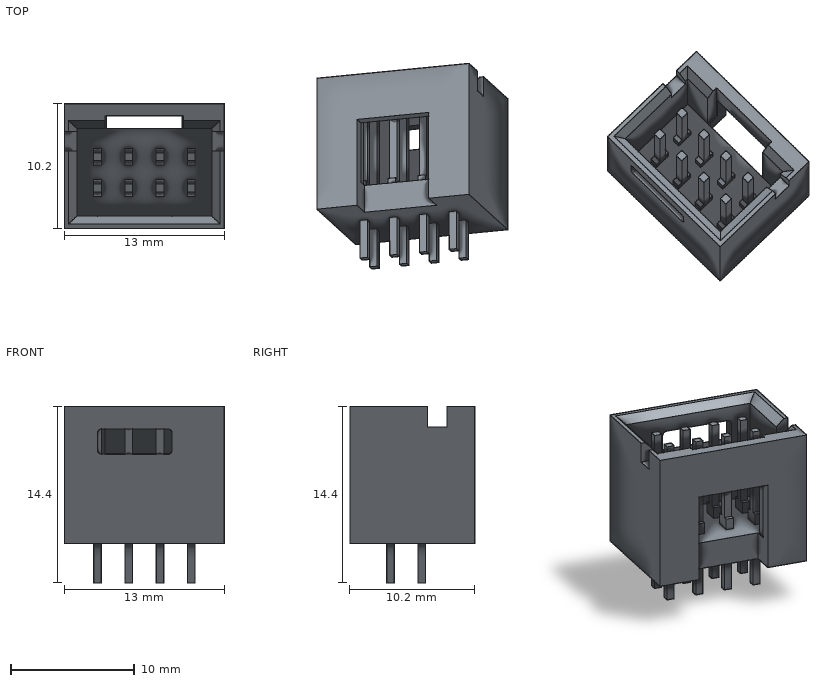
import cadquery as cq

OVERALL_HEIGHT = 14.35

HOUSING_LENGTH = 13.0
HOUSING_WIDTH = 10.16
HOUSING_HEIGHT = 11.15
FLOOR_THICKNESS = 2.28

WALL = 1.02
REAR_WALL = 2.01
BEVEL_WIDTH_X = 0.67
BEVEL_WIDTH_Y = 0.63
BEVEL_DEPTH = 0.65

RECESS_LENGTH = 6.35
RECESS_WALL = 0.99
OPENING_LENGTH = 6.13
OPENING_TOP = HOUSING_HEIGHT - 3.85

NOTCH_WIDTH = 1.55
NOTCH_DEPTH = 1.66
NOTCH_FROM_REAR = 2.28

WINDOW_LENGTH = 6.08
WINDOW_HEIGHT = 2.05
WINDOW_RADIUS = 0.36
WINDOW_CENTER_X = -0.77
WINDOW_TOP_GAP = 1.84

PIN_COLUMNS = 4
PIN_ROWS = 2
PIN_PITCH = 2.54
PIN_SIZE = 0.63
PIN_TAIL = OVERALL_HEIGHT - HOUSING_HEIGHT
PIN_TOP = HOUSING_HEIGHT - 0.8
PIN_GRID_CENTER_Y = -0.5
SHOULDER_WIDTH = 1.38
SHOULDER_HEIGHT = 0.93

FRONT_Y = -HOUSING_WIDTH / 2
REAR_Y = HOUSING_WIDTH / 2
CAVITY_LENGTH = HOUSING_LENGTH - 2 * WALL
CAVITY_WIDTH = HOUSING_WIDTH - WALL - REAR_WALL
CAVITY_CENTER_Y = (WALL - REAR_WALL) / 2
CAVITY_REAR_Y = REAR_Y - REAR_WALL


def block(length, y_range, z_range, center_x=0):
    """Box centred on center_x, spanning the given Y and Z ranges."""
    y_min, y_max = y_range
    z_min, z_max = z_range
    return (
        cq.Workplane("XY")
        .box(length, y_max - y_min, z_max - z_min, centered=(True, False, False))
        .translate((center_x, y_min, z_min))
    )


def cavity():
    straight = block(
        CAVITY_LENGTH,
        (FRONT_Y + WALL, CAVITY_REAR_Y),
        (FLOOR_THICKNESS, HOUSING_HEIGHT),
    )
    bevel = (
        cq.Workplane("XY")
        .workplane(offset=HOUSING_HEIGHT)
        .center(0, CAVITY_CENTER_Y)
        .rect(CAVITY_LENGTH + 2 * BEVEL_WIDTH_X, CAVITY_WIDTH + 2 * BEVEL_WIDTH_Y)
        .workplane(offset=-BEVEL_DEPTH)
        .rect(CAVITY_LENGTH, CAVITY_WIDTH)
        .loft(ruled=True)
    )
    return straight.union(bevel)


def rear_recess():
    return block(
        RECESS_LENGTH,
        (CAVITY_REAR_Y, REAR_Y - RECESS_WALL),
        (FLOOR_THICKNESS, HOUSING_HEIGHT),
    )


def rear_opening():
    return block(OPENING_LENGTH, (CAVITY_REAR_Y, REAR_Y), (0, OPENING_TOP))


def end_notches():
    notch_rear_y = REAR_Y - NOTCH_FROM_REAR
    return block(
        HOUSING_LENGTH,
        (notch_rear_y - NOTCH_WIDTH, notch_rear_y),
        (HOUSING_HEIGHT - NOTCH_DEPTH, HOUSING_HEIGHT),
    )


def front_window():
    window_top = HOUSING_HEIGHT - WINDOW_TOP_GAP
    return block(
        WINDOW_LENGTH,
        (FRONT_Y, FRONT_Y + WALL),
        (window_top - WINDOW_HEIGHT, window_top),
        WINDOW_CENTER_X,
    ).edges("|Y").fillet(WINDOW_RADIUS)


def pin(x, y):
    post = block(PIN_SIZE, (y - PIN_SIZE / 2, y + PIN_SIZE / 2), (-PIN_TAIL, PIN_TOP), x)
    shoulder = block(
        PIN_SIZE,
        (y - SHOULDER_WIDTH / 2, y + SHOULDER_WIDTH / 2),
        (0, FLOOR_THICKNESS + SHOULDER_HEIGHT),
        x,
    )
    return post.union(shoulder)


result = block(HOUSING_LENGTH, (FRONT_Y, REAR_Y), (0, HOUSING_HEIGHT))
for pocket in (cavity(), rear_recess(), rear_opening(), end_notches(), front_window()):
    result = result.cut(pocket)

for column in range(PIN_COLUMNS):
    pin_x = (column - (PIN_COLUMNS - 1) / 2) * PIN_PITCH
    for row in range(PIN_ROWS):
        pin_y = PIN_GRID_CENTER_Y + (row - (PIN_ROWS - 1) / 2) * PIN_PITCH
        result = result.union(pin(pin_x, pin_y))